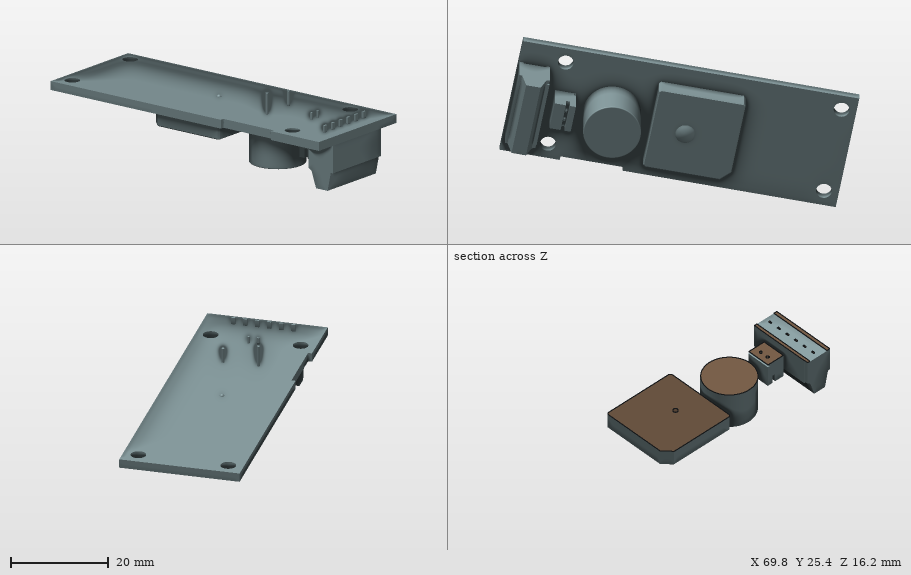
import cadquery as cq
import math


BOARD_LENGTH = 69.85
BOARD_WIDTH = 25.4
BOARD_THICKNESS = 1.9
MOUNT_HOLE_DIAMETER = 3.2
MOUNT_HOLE_LEFT_X = -31.85
MOUNT_HOLE_RIGHT_X = 25.5
MOUNT_HOLE_Y = 9.5
EDGE_NOTCH_LENGTH = 13.05
EDGE_NOTCH_DEPTH = 0.85
EDGE_NOTCH_X = 15.9

PATCH_SIZE = 18.0
PATCH_X = -3.1
PATCH_GAP = 0.2
PATCH_BOTTOM = -4.0
PATCH_KEY_CHAMFER = 2.0
PATCH_CORNER_CHAMFER = 0.4
PATCH_BOTTOM_CHAMFER = 0.2

FEED_X = -1.2
FEED_DIAMETER = 1.0
FEED_TIP_HEIGHT = 0.4
FEED_HEAD_DIAMETER = 4.05
FEED_HEAD_HEIGHT = 0.6

CAN_DIAMETER = 11.8
CAN_HEIGHT = 9.1
CAN_X = 14.05
CAN_Y = 0.105
CAN_FILLET = 0.2
LEAD_DIAMETER = 0.6
LEAD_SPACING = 7.4
LEAD_TILT = 1.7
LONG_LEAD_TOP = 6.35
SHORT_LEAD_TOP = 5.0

PIN_TOP = 3.35

SOCKET_LEFT_X = 22.1
SOCKET_LENGTH = 4.4
SOCKET_WIDTH = 5.8
SOCKET_HEIGHT = 5.95
SOCKET_SLOT_WIDTH = 0.85
SOCKET_SLOT_DEPTH = 1.95
SOCKET_NOTCH_SIZE = 0.4
SOCKET_NOTCH_TOP = -0.4
SOCKET_PIN_COUNT = 2
SOCKET_PIN_X = 23.75
SOCKET_PIN_SIZE = 0.4
SOCKET_PIN_PITCH = 2.0
SOCKET_PIN_BOTTOM = -4.9

HEADER_WIDTH = 15.85
HEADER_LEFT_X = 28.4
HEADER_RIGHT_X = 34.8
HEADER_BOTTOM = -9.9
HEADER_SHOULDER = -5.95
HEADER_LEFT_SHOULDER = -6.35
HEADER_NOSE_TOP_LEFT_X = 29.2
HEADER_NOSE_TOP_RIGHT_X = 34.2
HEADER_NOSE_LEFT_X = 30.4
HEADER_NOSE_RIGHT_X = 33.4
HEADER_RIB_WIDTH = 14.1
HEADER_RIB_DEPTH = 0.1
HEADER_CHANNEL_LEFT_X = 29.2
HEADER_CHANNEL_LENGTH = 4.7
HEADER_CHANNEL_DEPTH = 0.4
HEADER_PIN_COUNT = 6
HEADER_PIN_ROW_LENGTH = 12.7
HEADER_PIN_PITCH = HEADER_PIN_ROW_LENGTH / (HEADER_PIN_COUNT - 1)
HEADER_PIN_X = 31.5
HEADER_PIN_LENGTH = 0.4
HEADER_PIN_WIDTH = 0.85


def block(x_range, y_range, z_range):
    """Box spanning the given (low, high) ranges."""
    size = [high - low for low, high in (x_range, y_range, z_range)]
    return cq.Workplane("XY").box(*size, centered=False).translate((x_range[0], y_range[0], z_range[0]))


def centred(middle, size):
    """(low, high) range of the given size about its middle."""
    return (middle - size / 2, middle + size / 2)


def rod(x, y, diameter, bottom, top):
    """Upright round rod."""
    return cq.Workplane("XY", origin=(x, y, bottom)).circle(diameter / 2).extrude(top - bottom)


def row_positions(count, pitch):
    """Evenly spaced positions centred on zero."""
    return [(i - (count - 1) / 2) * pitch for i in range(count)]


def make_feed_pin():
    """Round shaft with a rounded tip above the board and a domed head under the patch."""
    shaft_radius = FEED_DIAMETER / 2
    head_radius = FEED_HEAD_DIAMETER / 2
    tip_top = BOARD_THICKNESS + FEED_TIP_HEIGHT
    head_bottom = PATCH_BOTTOM - FEED_HEAD_HEIGHT

    def cap_midpoint(base_radius, height):
        """Radius and rise of the point halfway along a spherical cap's profile."""
        sphere_radius = (base_radius ** 2 + height ** 2) / (2 * height)
        half_angle = math.asin(base_radius / sphere_radius) / 2
        return (
            sphere_radius * math.sin(half_angle),
            height - sphere_radius * (1 - math.cos(half_angle)),
        )

    tip_mid_radius, tip_mid_rise = cap_midpoint(shaft_radius, FEED_TIP_HEIGHT)
    head_mid_radius, head_mid_rise = cap_midpoint(head_radius, FEED_HEAD_HEIGHT)
    profile = (
        cq.Workplane("XZ")
        .moveTo(0, head_bottom)
        .threePointArc((head_mid_radius, PATCH_BOTTOM - head_mid_rise), (head_radius, PATCH_BOTTOM))
        .lineTo(shaft_radius, PATCH_BOTTOM)
        .lineTo(shaft_radius, BOARD_THICKNESS)
        .threePointArc((tip_mid_radius, BOARD_THICKNESS + tip_mid_rise), (0, tip_top))
        .close()
    )
    return profile.revolve(360, (0, 0, 0), (0, 1, 0)).translate((FEED_X, 0, 0))


def make_patch(feed_pin):
    """Square block with one large keyed corner, three small ones and a bevelled lower rim."""
    patch = block(
        centred(PATCH_X, PATCH_SIZE),
        centred(0, PATCH_SIZE),
        (PATCH_BOTTOM, -PATCH_GAP),
    )
    key_corner = cq.selectors.NearestToPointSelector(
        (PATCH_X - PATCH_SIZE / 2, -PATCH_SIZE / 2, (PATCH_BOTTOM - PATCH_GAP) / 2)
    )
    upright_edges = cq.selectors.ParallelDirSelector(cq.Vector(0, 0, 1))
    patch = patch.edges(upright_edges - key_corner).chamfer(PATCH_CORNER_CHAMFER)
    patch = patch.edges(key_corner).chamfer(PATCH_KEY_CHAMFER)
    patch = patch.faces("<Z").edges().chamfer(PATCH_BOTTOM_CHAMFER)
    return patch.cut(feed_pin)


def make_can():
    """Round can with a slightly rounded lower rim."""
    return rod(CAN_X, CAN_Y, CAN_DIAMETER, -CAN_HEIGHT, 0).faces("<Z").edges().fillet(CAN_FILLET)


def make_lead(side, top):
    """Round lead standing on the can; side is +1 toward +Y and -1 toward -Y."""
    tilt = math.radians(LEAD_TILT)
    reach = side * LEAD_SPACING / 2
    x = CAN_X - reach * math.sin(tilt)
    y = CAN_Y + reach * math.cos(tilt)
    return rod(x, y, LEAD_DIAMETER, 0, top)


def make_socket_pin(y):
    """Square pin through the socket and the board."""
    return block(
        centred(SOCKET_PIN_X, SOCKET_PIN_SIZE),
        centred(y, SOCKET_PIN_SIZE),
        (SOCKET_PIN_BOTTOM, PIN_TOP),
    )


def make_socket(pins):
    """Socket housing with a slot along its mouth and a notch along its -X side."""
    width = centred(0, SOCKET_WIDTH)
    housing = block((SOCKET_LEFT_X, SOCKET_LEFT_X + SOCKET_LENGTH), width, (-SOCKET_HEIGHT, 0))
    slot = block(
        centred(SOCKET_PIN_X, SOCKET_SLOT_WIDTH),
        width,
        (-SOCKET_HEIGHT, SOCKET_SLOT_DEPTH - SOCKET_HEIGHT),
    )
    notch = block(
        (SOCKET_LEFT_X, SOCKET_LEFT_X + SOCKET_NOTCH_SIZE),
        width,
        (SOCKET_NOTCH_TOP - SOCKET_NOTCH_SIZE, SOCKET_NOTCH_TOP),
    )
    housing = housing.cut(slot).cut(notch)
    for pin in pins:
        housing = housing.cut(pin)
    return housing


def make_header():
    """Header with a tapered nose, a raised rib on its -X side and its row of pins."""
    outline = [
        (HEADER_LEFT_X, 0),
        (HEADER_LEFT_X, HEADER_SHOULDER),
        (HEADER_NOSE_TOP_LEFT_X, HEADER_LEFT_SHOULDER),
        (HEADER_NOSE_LEFT_X, HEADER_BOTTOM),
        (HEADER_NOSE_RIGHT_X, HEADER_BOTTOM),
        (HEADER_NOSE_TOP_RIGHT_X, HEADER_SHOULDER),
        (HEADER_RIGHT_X, HEADER_SHOULDER),
        (HEADER_RIGHT_X, 0),
    ]
    header = cq.Workplane("XZ").polyline(outline).close().extrude(HEADER_WIDTH / 2, both=True)
    rib = block(
        (HEADER_LEFT_X - HEADER_RIB_DEPTH, HEADER_NOSE_TOP_LEFT_X),
        centred(0, HEADER_RIB_WIDTH),
        (HEADER_LEFT_SHOULDER, 0),
    )
    channel = block(
        (HEADER_CHANNEL_LEFT_X, HEADER_CHANNEL_LEFT_X + HEADER_CHANNEL_LENGTH),
        centred(0, HEADER_WIDTH),
        (-HEADER_CHANNEL_DEPTH, 0),
    )
    header = header.union(rib).cut(channel)
    for y in row_positions(HEADER_PIN_COUNT, HEADER_PIN_PITCH):
        pin = block(
            centred(HEADER_PIN_X, HEADER_PIN_LENGTH),
            centred(y, HEADER_PIN_WIDTH),
            (-HEADER_CHANNEL_DEPTH, PIN_TOP),
        )
        header = header.union(pin)
    return header


def make_board(mounted_parts):
    """Board with mounting holes, an edge notch and openings for every pin and lead."""
    board = block(centred(0, BOARD_LENGTH), centred(0, BOARD_WIDTH), (0, BOARD_THICKNESS))
    edge_notch = block(
        centred(EDGE_NOTCH_X, EDGE_NOTCH_LENGTH),
        (-BOARD_WIDTH / 2, -BOARD_WIDTH / 2 + EDGE_NOTCH_DEPTH),
        (0, BOARD_THICKNESS),
    )
    board = board.cut(edge_notch)
    for x in (MOUNT_HOLE_LEFT_X, MOUNT_HOLE_RIGHT_X):
        for y in (-MOUNT_HOLE_Y, MOUNT_HOLE_Y):
            board = board.cut(rod(x, y, MOUNT_HOLE_DIAMETER, 0, BOARD_THICKNESS))
    for part in mounted_parts:
        board = board.cut(part)
    return board


feed_pin = make_feed_pin()
patch = make_patch(feed_pin)
can = make_can()
leads = [make_lead(1, SHORT_LEAD_TOP), make_lead(-1, LONG_LEAD_TOP)]
socket_pins = [make_socket_pin(y) for y in row_positions(SOCKET_PIN_COUNT, SOCKET_PIN_PITCH)]
socket = make_socket(socket_pins)
header = make_header()
board = make_board([feed_pin, *leads, *socket_pins, header])

bodies = [board, patch, feed_pin, can, *leads, socket, *socket_pins, header]
result = cq.Compound.makeCompound([body.solids().val() for body in bodies])